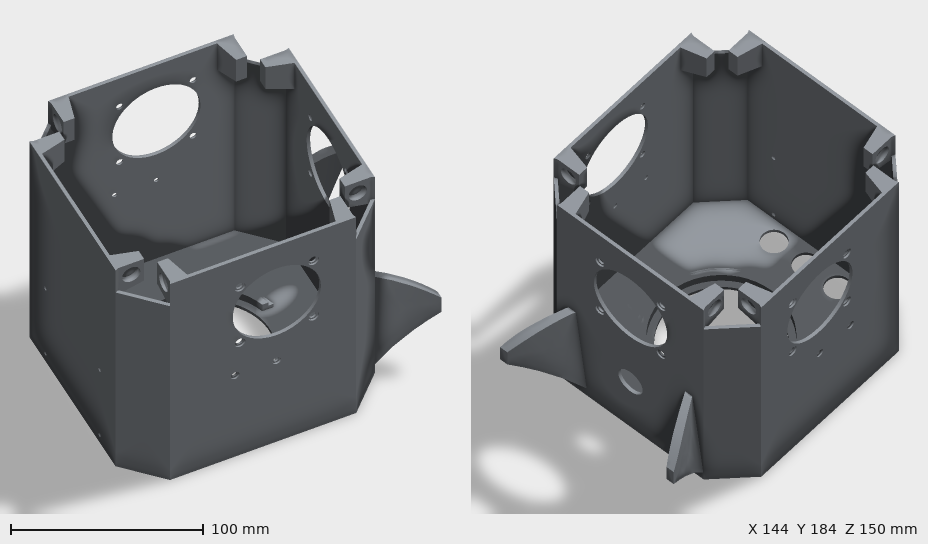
import cadquery as cq
import math

WIDTH = 144.0
DEPTH = 150.0
HEIGHT = 150.0
CORNER = 21.2
PANEL_ANGLE = 45
WALL = 2.0
FLOOR = WALL
PANEL_DROP = 17.0
HALF_WIDTH = WIDTH / 2
HALF_DEPTH = DEPTH / 2

BLOCK_TIP_HEIGHT = 16.5
BLOCK_ROOT_HEIGHT = 20.0
BLOCK_REACH = 17.0
BLOCK_TIP_WIDTH = 6.3
BLOCK_ROOT_WIDTH = 10.1
MAGNET_DIAMETER = 10.5
MAGNET_DEPTH = 4.0

FLOOR_HOLE_DIAMETER = 70.0
FLOOR_HOLE_Y = 3.9
CABLE_HOLE_DIAMETER = 15.0
CABLE_HOLE_PITCH = 22.0
CABLE_HOLE_Y = -62.2

RING_INNER_RADIUS = 39.0
RING_STEP_RADIUS = 42.5
RING_OUTER_RADIUS = 45.3
RING_HEIGHT = 5.0
RING_STEP_HEIGHT = 2.5
RING_GAP = 24.7

WINDOW_DIAMETER = 51.0
SIDE_WINDOW_Y = 8.0
SIDE_WINDOW_Z = 107.0
REAR_WINDOW_Z = 105.0
SCREW_PITCH = 42.5
SCREW_DIAMETER = 4.0
SCREW_HEAD_DIAMETER = 6.0
SCREW_HEAD_DEPTH = WALL / 2

SMALL_SCREW_DIAMETER = 3.0
SMALL_SCREW_HEAD_DIAMETER = 5.0
SMALL_SCREW_PITCH = 24.1
SMALL_SCREW_Z = 62.0

PILOT_DIAMETER = 2.5
PILOT_PITCH_X = 64.0
PILOT_PITCH_Z = 50.0
PILOT_LOW_Z = 5.7
OUTLET_DIAMETER = 17.0
OUTLET_Z = 40.0

OVERALL_DEPTH = 184.0
FIN_LENGTH = OVERALL_DEPTH - DEPTH
FIN_ROOT_X = 40.5
FIN_ROOT_WIDTH = 20.0
FIN_TIP_X = 57.8
FIN_TIP_WIDTH = 5.0
FIN_ROOT_LOW_Z = 6.0
FIN_ROOT_HIGH_Z = 66.5
FIN_TIP_LOW_Z = 39.7
FIN_TIP_HIGH_Z = 50.5
FIN_CREST_LENGTH = 1.5
FIN_LOW_MID = (16.5, 25.2)
FIN_HIGH_MID = (11.0, 63.7)

MITRE = WALL * math.tan(math.radians(PANEL_ANGLE / 2))
OUTER_CORNER_A = (HALF_WIDTH - CORNER, HALF_DEPTH)
OUTER_CORNER_B = (HALF_WIDTH, HALF_DEPTH - CORNER)
INNER_CORNER_A = (OUTER_CORNER_A[0] - MITRE, HALF_DEPTH - WALL)
INNER_CORNER_B = (HALF_WIDTH - WALL, OUTER_CORNER_B[1] - MITRE)


def mirror_to_corners(shape):
    """Copy a shape from the +X +Y corner to all four corners."""
    pair = shape.union(shape.mirror("YZ"))
    return pair.union(pair.mirror("XZ"))


def octagon(corner_a, corner_b):
    """Closed octagon outline from its two corners in the +X +Y quadrant."""
    (ax, ay), (bx, by) = corner_a, corner_b
    right_half = [(ax, ay), (bx, by), (bx, -by), (ax, -ay)]
    left_half = [(-x, -y) for x, y in right_half]
    return cq.Workplane("XY").polyline(right_half + left_half).close()


def make_box():
    """Open box with thin walls and the corner panels cut down beside the magnet blocks."""
    outer = octagon(OUTER_CORNER_A, OUTER_CORNER_B).extrude(HEIGHT)
    inner = octagon(INNER_CORNER_A, INNER_CORNER_B).extrude(HEIGHT)
    panel_top = (
        cq.Workplane("XY", origin=(0, 0, HEIGHT - PANEL_DROP))
        .polyline([OUTER_CORNER_A, OUTER_CORNER_B, INNER_CORNER_B, INNER_CORNER_A])
        .close()
        .extrude(PANEL_DROP)
    )
    return outer.cut(inner.translate((0, 0, FLOOR))).cut(mirror_to_corners(panel_top))


def make_block():
    """Block reaching towards -Y from a wall face on Y = 0, with a blind magnet hole in its X = 0 end."""
    plan = (
        cq.Workplane("XY")
        .moveTo(0, -WALL / 2)
        .lineTo(0, -BLOCK_REACH)
        .lineTo(-BLOCK_TIP_WIDTH, -BLOCK_REACH)
        .lineTo(-BLOCK_ROOT_WIDTH, -WALL)
        .lineTo(-BLOCK_ROOT_WIDTH, -WALL / 2)
        .close()
        .extrude(-BLOCK_ROOT_HEIGHT)
    )
    side = (
        cq.Workplane("YZ")
        .moveTo(0, 0)
        .lineTo(-BLOCK_REACH, 0)
        .lineTo(-BLOCK_REACH, -BLOCK_TIP_HEIGHT)
        .lineTo(-WALL, -BLOCK_ROOT_HEIGHT)
        .lineTo(0, -BLOCK_ROOT_HEIGHT)
        .close()
        .extrude(-BLOCK_ROOT_WIDTH)
    )
    magnet = (
        cq.Workplane("YZ", origin=(0, -(BLOCK_REACH + WALL) / 2, -PANEL_DROP / 2))
        .circle(MAGNET_DIAMETER / 2)
        .extrude(-MAGNET_DEPTH)
    )
    return plan.intersect(side).cut(magnet)


def make_blocks():
    """A pair of blocks at each of the four corners, one on each straight wall."""
    block = make_block()
    rear_block = block.translate((INNER_CORNER_A[0], HALF_DEPTH, HEIGHT))
    side_block = (
        block.mirror("YZ")
        .rotate((0, 0, 0), (0, 0, 1), -90)
        .translate((HALF_WIDTH, INNER_CORNER_B[1], HEIGHT))
    )
    return mirror_to_corners(rear_block.union(side_block))


def make_ring():
    """Stepped ring on the floor, open towards +Y."""
    base = cq.Workplane("XY", origin=(0, FLOOR_HOLE_Y, 0))
    flange = base.circle(RING_OUTER_RADIUS).circle(RING_INNER_RADIUS).extrude(FLOOR + RING_STEP_HEIGHT)
    lip = base.circle(RING_STEP_RADIUS).circle(RING_INNER_RADIUS).extrude(FLOOR + RING_HEIGHT)
    gap = (
        cq.Workplane("XY", origin=(0, FLOOR_HOLE_Y + RING_OUTER_RADIUS / 2, FLOOR))
        .rect(RING_GAP, RING_OUTER_RADIUS)
        .extrude(RING_HEIGHT)
    )
    return flange.union(lip).cut(gap)


def make_fin():
    """Curved fin on the +X half of the rear wall, narrowing and leaning outwards."""
    root_y = HALF_DEPTH - WALL / 2
    tip_y = HALF_DEPTH + FIN_LENGTH
    profile = (
        cq.Workplane("YZ")
        .moveTo(root_y, FIN_ROOT_LOW_Z)
        .lineTo(HALF_DEPTH, FIN_ROOT_LOW_Z)
        .threePointArc((HALF_DEPTH + FIN_LOW_MID[0], FIN_LOW_MID[1]), (tip_y, FIN_TIP_LOW_Z))
        .lineTo(tip_y, FIN_TIP_HIGH_Z)
        .threePointArc(
            (HALF_DEPTH + FIN_HIGH_MID[0], FIN_HIGH_MID[1]),
            (HALF_DEPTH + FIN_CREST_LENGTH, FIN_ROOT_HIGH_Z),
        )
        .lineTo(root_y, FIN_ROOT_HIGH_Z)
        .close()
        .extrude(HALF_WIDTH)
    )

    def section(y, centre, low_z, low_width):
        points = [
            (centre - low_width / 2, low_z),
            (centre + low_width / 2, low_z),
            (centre + FIN_TIP_WIDTH / 2, FIN_ROOT_HIGH_Z),
            (centre - FIN_TIP_WIDTH / 2, FIN_ROOT_HIGH_Z),
        ]
        return cq.Wire.makePolygon([cq.Vector(x, y, z) for x, z in points], close=True)

    root_section = section(HALF_DEPTH, FIN_ROOT_X, FIN_ROOT_LOW_Z, FIN_ROOT_WIDTH)
    tip_section = section(tip_y, FIN_TIP_X, FIN_TIP_LOW_Z, FIN_TIP_WIDTH)
    wedge = cq.Solid.makeLoft([root_section, tip_section], True)
    return profile.intersect(cq.Workplane(obj=wedge))


def screw_cutter(diameter, head_diameter):
    """Counterbored screw hole along X through a wall whose outer face is at X = 0."""
    wall_face = cq.Workplane("YZ")
    hole = wall_face.circle(diameter / 2).extrude(-2 * WALL)
    head = wall_face.circle(head_diameter / 2).extrude(-SCREW_HEAD_DEPTH)
    return hole.union(head)


def make_window_cutter():
    """Round window with four screws, for a wall facing +X at X = 0, centred on Z = 0."""
    cutter = cq.Workplane("YZ").circle(WINDOW_DIAMETER / 2).extrude(-2 * WALL)
    screw = screw_cutter(SCREW_DIAMETER, SCREW_HEAD_DIAMETER)
    for y in (-SCREW_PITCH / 2, SCREW_PITCH / 2):
        for z in (-SCREW_PITCH / 2, SCREW_PITCH / 2):
            cutter = cutter.union(screw.translate((0, y, z)))
    return cutter


def cut_side_walls(body):
    """Windows and screw pairs in the +X and -X walls."""
    cutter = make_window_cutter().translate((HALF_WIDTH, SIDE_WINDOW_Y, SIDE_WINDOW_Z))
    small_screw = screw_cutter(SMALL_SCREW_DIAMETER, SMALL_SCREW_HEAD_DIAMETER)
    for y in (SIDE_WINDOW_Y, SIDE_WINDOW_Y - SMALL_SCREW_PITCH):
        cutter = cutter.union(small_screw.translate((HALF_WIDTH, y, SMALL_SCREW_Z)))
    return body.cut(cutter).cut(cutter.mirror("YZ"))


def cut_rear_wall(body):
    """Window and outlet hole in the +Y wall."""
    window = make_window_cutter().rotate((0, 0, 0), (0, 0, 1), 90).translate((0, HALF_DEPTH, REAR_WINDOW_Z))
    outlet = (
        cq.Workplane("XZ", origin=(0, HALF_DEPTH, OUTLET_Z)).circle(OUTLET_DIAMETER / 2).extrude(2 * WALL)
    )
    return body.cut(window).cut(outlet)


def cut_front_wall(body):
    """Rectangle of pilot holes through the -Y wall."""
    pilots = (
        cq.Workplane("XZ", origin=(0, -HALF_DEPTH, PILOT_LOW_Z + PILOT_PITCH_Z / 2))
        .rect(PILOT_PITCH_X, PILOT_PITCH_Z, forConstruction=True)
        .vertices()
        .circle(PILOT_DIAMETER / 2)
        .extrude(-2 * WALL)
    )
    return body.cut(pilots)


def cut_floor(body):
    """Large central hole and a row of three cable holes."""
    main_hole = cq.Workplane("XY", origin=(0, FLOOR_HOLE_Y, 0)).circle(FLOOR_HOLE_DIAMETER / 2)
    cable_holes = (
        cq.Workplane("XY", origin=(0, CABLE_HOLE_Y, 0))
        .rarray(CABLE_HOLE_PITCH, 1.8, 3, 1)
        .circle(CABLE_HOLE_DIAMETER / 2)
    )
    return body.cut(main_hole.extrude(FLOOR)).cut(cable_holes.extrude(FLOOR))


fin = make_fin()
body = make_box().union(make_blocks()).union(make_ring())
body = body.union(fin).union(fin.mirror("YZ"))
body = cut_side_walls(body)
body = cut_rear_wall(body)
body = cut_front_wall(body)
result = cut_floor(body)